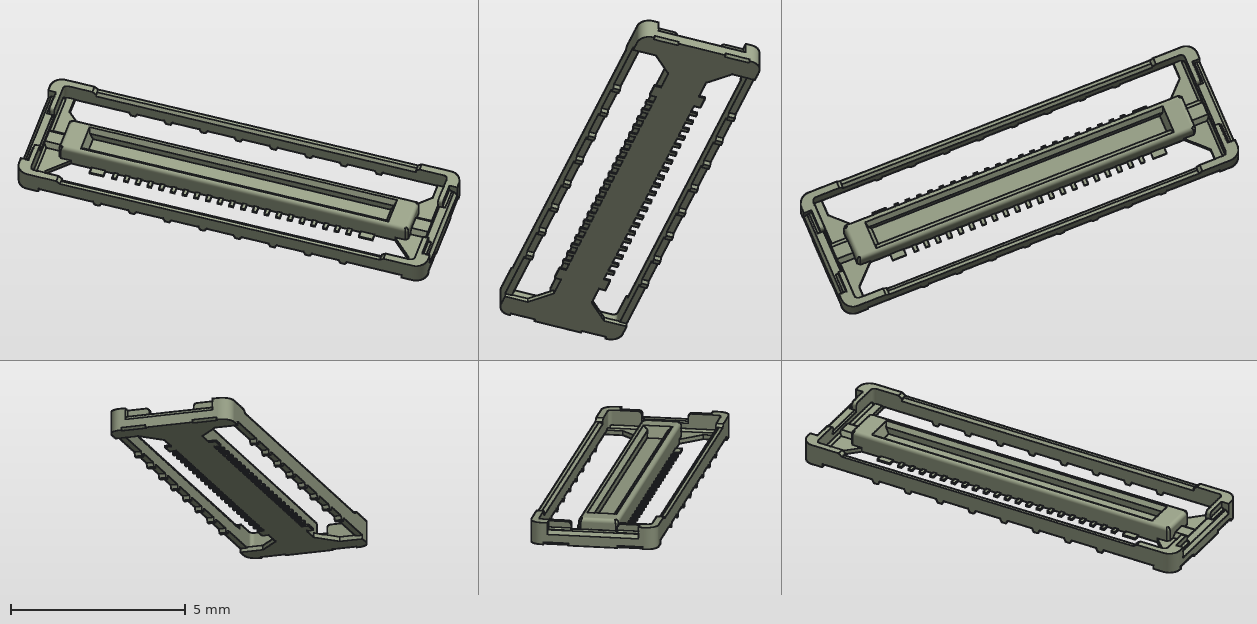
import cadquery as cq
LENGTH = 12.24
WIDTH = 3.7
HEIGHT = 0.65
CORNER_RADIUS = 0.35
RAIL_THICKNESS = 0.21
END_WALL_THICKNESS = 0.38
INNER_CORNER_RADIUS = 0.12

RAIL_LOW_HEIGHT = 0.56
RAIL_STEP_INSET = 1.22
RAIL_STEP_RUN = 0.11
RAIL_BEVEL_WIDTH = 0.1
RAIL_BEVEL_DROP = 0.07

LEDGE_HEIGHT = 0.42
LEDGE_HALF_SPAN = 1.32
LEDGE_CHAMFER_WIDTH = 0.1
LEDGE_CHAMFER_DROP = 0.11
LEDGE_INNER_CHAMFER = 0.05
TAB_THICKNESS = 0.15
TAB_FOOT_RUN = 0.07
TAB_FOOT_RISE = 0.05
TAB_INNER_END = 0.67
TAB_END_RADIUS = 0.1
WALL_FOOT_CHAMFER = 0.07
WALL_FOOT_HALF_SPAN = 1.58
END_RELIEF_INNER = 0.71
END_RELIEF_OUTER = 1.45
END_RELIEF_CHAMFER = 0.07

PLATE_HEIGHT = 0.13
PLATE_INSET = 0.69
PLATE_SHOULDER = 1.16
LINK_TOP_HALF_WIDTH = 0.2
LINK_BOTTOM_HALF_WIDTH = 0.33
LINK_HEIGHT = 0.26

BAR_INSET = 0.89
BAR_WIDTH = 1.15
BAR_HEIGHT = 0.58
BAR_TOP_RADIUS = 0.116
BAR_CORNER_CHAMFER = 0.07
POCKET_TOP_INSET = 1.52
POCKET_FLOOR_INSET = 1.66
POCKET_WIDTH = 0.58
POCKET_FLOOR_HEIGHT = 0.25
POCKET_BEVEL_WIDTH = 0.13
POCKET_BEVEL_DROP = 0.12

CONTACT_COUNT = 21
CONTACT_PITCH = 0.35
CONTACT_WIDTH = 0.12
CONTACT_HEIGHT = 0.05
CONTACT_SPAN = 1.54
END_PAD_WIDTH = 0.42
END_PAD_OFFSET = 4.03

ARCH_HEIGHT = 0.11
FOOT_COUNT = 8
FOOT_PITCH = 3 * CONTACT_PITCH
FOOT_BOTTOM_WIDTH = 0.13
FOOT_TOP_WIDTH = 0.25

HALF_LENGTH = LENGTH / 2
HALF_WIDTH = WIDTH / 2
INNER_LENGTH = LENGTH - 2 * END_WALL_THICKNESS
INNER_WIDTH = WIDTH - 2 * RAIL_THICKNESS
BAR_LENGTH = LENGTH - 2 * BAR_INSET


def block(x0, x1, y0, y1, z0, z1):
    """Box given by its limits along each axis."""
    return cq.Workplane("XY").box(x1 - x0, y1 - y0, z1 - z0, centered=False).translate((x0, y0, z0))


def extrude_along_y(points, y0, y1):
    """Prism with an XZ outline, running from y0 to y1."""
    return cq.Workplane("XZ", origin=(0, y0, 0)).polyline(points).close().extrude(y0 - y1)


def extrude_along_x(points, x0, x1):
    """Prism with a YZ outline, running from x0 to x1."""
    return cq.Workplane("YZ", origin=(x0, 0, 0)).polyline(points).close().extrude(x1 - x0)


def both_ends(shape):
    """The left-end shape together with its mirror image at the right end."""
    return shape.union(shape.mirror("YZ"))


def both_sides(shape):
    """The shape on the -Y side together with its mirror image on the +Y side."""
    return shape.union(shape.mirror("XZ"))


def frame_ring():
    """Rectangular ring with rounded corners inside and out."""
    outer = cq.Workplane("XY").box(LENGTH, WIDTH, HEIGHT, centered=(True, True, False))
    outer = outer.edges("|Z").fillet(CORNER_RADIUS)
    opening = cq.Workplane("XY").box(INNER_LENGTH, INNER_WIDTH, HEIGHT, centered=(True, True, False))
    return outer.cut(opening.edges("|Z").fillet(INNER_CORNER_RADIUS))


def rail_lowering():
    """Cut that lowers the middle of both rails and bevels their inner top edge."""
    top_half = HALF_LENGTH - RAIL_STEP_INSET
    bottom_half = top_half - RAIL_STEP_RUN
    step = extrude_along_y(
        [
            (-top_half, HEIGHT),
            (-bottom_half, RAIL_LOW_HEIGHT),
            (bottom_half, RAIL_LOW_HEIGHT),
            (top_half, HEIGHT),
        ],
        -HALF_WIDTH,
        HALF_WIDTH,
    )
    inner_y = -INNER_WIDTH / 2
    bevel = extrude_along_x(
        [
            (inner_y - RAIL_BEVEL_WIDTH, RAIL_LOW_HEIGHT),
            (inner_y, RAIL_LOW_HEIGHT),
            (inner_y, RAIL_LOW_HEIGHT - RAIL_BEVEL_DROP),
        ],
        -bottom_half,
        bottom_half,
    )
    return step.union(both_sides(bevel))


def rail_arches():
    """Trapezoidal reliefs under the rails, leaving a row of small feet."""
    last_foot = FOOT_PITCH * (FOOT_COUNT - 1) / 2
    outer_end = HALF_LENGTH - PLATE_INSET
    band = block(-outer_end, outer_end, -HALF_WIDTH, -INNER_WIDTH / 2, 0, ARCH_HEIGHT)
    for index in range(FOOT_COUNT):
        centre = index * FOOT_PITCH - last_foot
        foot = extrude_along_y(
            [
                (centre - FOOT_BOTTOM_WIDTH / 2, 0),
                (centre + FOOT_BOTTOM_WIDTH / 2, 0),
                (centre + FOOT_TOP_WIDTH / 2, ARCH_HEIGHT),
                (centre - FOOT_TOP_WIDTH / 2, ARCH_HEIGHT),
            ],
            -HALF_WIDTH,
            -INNER_WIDTH / 2,
        )
        band = band.cut(foot)
    return both_sides(band)


def end_wall_cut():
    """Cut that shapes the left end wall into a ledge with two tabs."""
    outer_x = -HALF_LENGTH
    inner_x = outer_x + END_WALL_THICKNESS
    tab_x = inner_x - TAB_THICKNESS
    outside = extrude_along_y(
        [
            (outer_x, LEDGE_HEIGHT - LEDGE_CHAMFER_DROP),
            (outer_x + LEDGE_CHAMFER_WIDTH, LEDGE_HEIGHT),
            (tab_x - TAB_FOOT_RUN, LEDGE_HEIGHT),
            (tab_x, LEDGE_HEIGHT + TAB_FOOT_RISE),
            (tab_x, HEIGHT),
            (outer_x, HEIGHT),
        ],
        -LEDGE_HALF_SPAN,
        LEDGE_HALF_SPAN,
    )
    tab_top = TAB_INNER_END + TAB_END_RADIUS
    between_tabs = (
        cq.Workplane("YZ", origin=(outer_x, 0, 0))
        .moveTo(-TAB_INNER_END, LEDGE_HEIGHT)
        .lineTo(TAB_INNER_END, LEDGE_HEIGHT)
        .lineTo(TAB_INNER_END, HEIGHT - TAB_END_RADIUS)
        .radiusArc((tab_top, HEIGHT), TAB_END_RADIUS)
        .lineTo(-tab_top, HEIGHT)
        .radiusArc((-TAB_INNER_END, HEIGHT - TAB_END_RADIUS), TAB_END_RADIUS)
        .close()
        .extrude(END_WALL_THICKNESS)
    )
    inner_edge = extrude_along_y(
        [
            (inner_x - LEDGE_INNER_CHAMFER, LEDGE_HEIGHT),
            (inner_x, LEDGE_HEIGHT),
            (inner_x, LEDGE_HEIGHT - LEDGE_INNER_CHAMFER),
        ],
        -TAB_INNER_END,
        TAB_INNER_END,
    )
    bottom_relief = extrude_along_y(
        [(outer_x, 0), (outer_x + END_RELIEF_CHAMFER, 0), (outer_x, END_RELIEF_CHAMFER)],
        -END_RELIEF_OUTER,
        -END_RELIEF_INNER,
    )
    return outside.union(between_tabs).union(inner_edge).union(both_sides(bottom_relief))


def end_plate():
    """Left floor plate with its shoulders, wall foot and raised link to the bar."""
    wall_x = -HALF_LENGTH + END_WALL_THICKNESS
    shoulder_x = -HALF_LENGTH + PLATE_INSET
    bar_x = -HALF_LENGTH + BAR_INSET
    bar_y = BAR_WIDTH / 2
    taper_x = shoulder_x + PLATE_SHOULDER - bar_y
    plate = (
        cq.Workplane("XY")
        .polyline(
            [
                (wall_x - INNER_CORNER_RADIUS, -HALF_WIDTH + RAIL_THICKNESS / 2),
                (shoulder_x, -HALF_WIDTH + RAIL_THICKNESS / 2),
                (shoulder_x, -PLATE_SHOULDER),
                (taper_x, -bar_y),
                (taper_x, bar_y),
                (shoulder_x, PLATE_SHOULDER),
                (shoulder_x, HALF_WIDTH - RAIL_THICKNESS / 2),
                (wall_x - INNER_CORNER_RADIUS, HALF_WIDTH - RAIL_THICKNESS / 2),
            ]
        )
        .close()
        .extrude(PLATE_HEIGHT)
    )
    wall_foot = extrude_along_y(
        [
            (wall_x, PLATE_HEIGHT),
            (wall_x + WALL_FOOT_CHAMFER, PLATE_HEIGHT),
            (wall_x, PLATE_HEIGHT + WALL_FOOT_CHAMFER),
        ],
        -WALL_FOOT_HALF_SPAN,
        WALL_FOOT_HALF_SPAN,
    )
    link = extrude_along_x(
        [
            (-LINK_BOTTOM_HALF_WIDTH, PLATE_HEIGHT),
            (LINK_BOTTOM_HALF_WIDTH, PLATE_HEIGHT),
            (LINK_TOP_HALF_WIDTH, LINK_HEIGHT),
            (-LINK_TOP_HALF_WIDTH, LINK_HEIGHT),
        ],
        wall_x,
        bar_x + BAR_CORNER_CHAMFER,
    )
    return plate.union(wall_foot).union(link)


def pocket():
    """Pocket with sloping ends and upright sides that are bevelled along the top."""
    floor_half_length = HALF_LENGTH - POCKET_FLOOR_INSET
    top_half_length = HALF_LENGTH - POCKET_TOP_INSET
    half_width = POCKET_WIDTH / 2
    top_half_width = half_width + POCKET_BEVEL_WIDTH
    bevel_bottom = BAR_HEIGHT - POCKET_BEVEL_DROP
    lengthwise = extrude_along_y(
        [
            (-floor_half_length, POCKET_FLOOR_HEIGHT),
            (floor_half_length, POCKET_FLOOR_HEIGHT),
            (top_half_length, BAR_HEIGHT),
            (-top_half_length, BAR_HEIGHT),
        ],
        -top_half_width,
        top_half_width,
    )
    crosswise = extrude_along_x(
        [
            (-half_width, POCKET_FLOOR_HEIGHT),
            (half_width, POCKET_FLOOR_HEIGHT),
            (half_width, bevel_bottom),
            (top_half_width, BAR_HEIGHT),
            (-top_half_width, BAR_HEIGHT),
            (-half_width, bevel_bottom),
        ],
        -top_half_length,
        top_half_length,
    )
    return lengthwise.intersect(crosswise)


def centre_bar():
    """Long bar with rounded top edges and a pocket along its top."""
    bar = cq.Workplane("XY").box(BAR_LENGTH, BAR_WIDTH, BAR_HEIGHT, centered=(True, True, False))
    bar = bar.edges("|Z").chamfer(BAR_CORNER_CHAMFER)
    bar = bar.faces(">Z").edges().fillet(BAR_TOP_RADIUS)
    return bar.cut(pocket())


def contacts():
    """Row of narrow contacts with a wide pad at each end, crossing under the bar."""
    first = -CONTACT_PITCH * (CONTACT_COUNT - 1) / 2
    narrow = [(first + index * CONTACT_PITCH, 0) for index in range(CONTACT_COUNT)]
    pins = cq.Workplane("XY").pushPoints(narrow)
    pins = pins.box(CONTACT_WIDTH, CONTACT_SPAN, CONTACT_HEIGHT, centered=(True, True, False))
    pads = cq.Workplane("XY").pushPoints([(-END_PAD_OFFSET, 0), (END_PAD_OFFSET, 0)])
    pads = pads.box(END_PAD_WIDTH, CONTACT_SPAN, CONTACT_HEIGHT, centered=(True, True, False))
    return pins.union(pads)


frame = frame_ring().cut(rail_lowering()).cut(both_ends(end_wall_cut()))
result = frame.union(both_ends(end_plate())).union(centre_bar()).union(contacts())
result = result.cut(rail_arches())